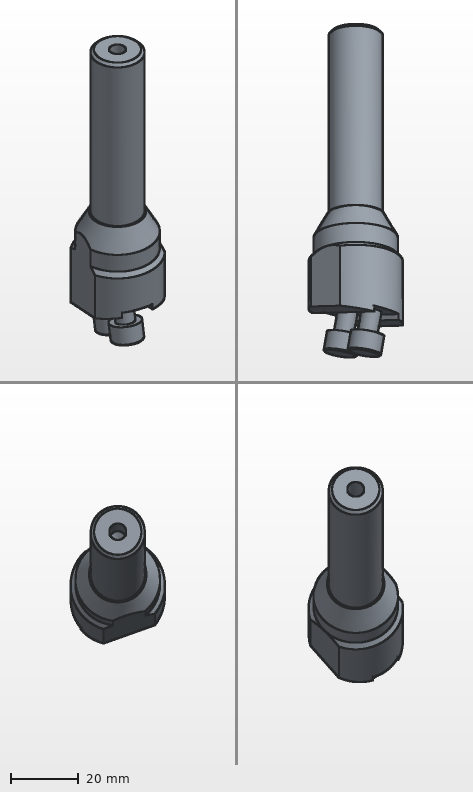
import cadquery as cq
import math


overall_length = 103.6

shank_diameter = 16.1
shank_radius = shank_diameter / 2
shank_chamfer = 1.0
shank_base_height = 32.1
cone_top_radius = 8.5
cone_height = 7.2
collar_radius = 12.5
collar_height = 6.0
head_radius = 14.0
head_chamfer = head_radius - collar_radius

blank_bottom = -5.2

front_flat = 11.5
back_flat = collar_radius

centre_hole_radius = 2.5
centre_hole_depth = 10.4
drill_tip_angle = 118.0

face_angle = 14.0
slot_width = 10.0
slot_depth = 1.8

stem_radius = 3.0
screw_head_radius = slot_width / 2
screw_head_height = 6.0
screw_head_chamfer = 0.4
under_head_drop = 5.3
screw_spacing = 10.5
screw_row_centre = -1.2

slope = math.radians(face_angle)
end_face = cq.Plane(
    origin=(0, 0, 0),
    xDir=(math.cos(slope), 0, math.sin(slope)),
    normal=(math.sin(slope), 0, -math.cos(slope)),
)

end_rim_reach = screw_spacing / 2 - screw_row_centre + screw_head_radius - screw_head_chamfer
screw_end_drop = under_head_drop + screw_head_height
lowest_drop = screw_end_drop * math.cos(slope) + end_rim_reach * math.sin(slope)
top_height = overall_length - lowest_drop

cutter_size = 4 * head_radius


def make_turned_blank():
    cone_base_height = shank_base_height - cone_height
    collar_base_height = cone_base_height - collar_height
    head_top_height = collar_base_height - head_chamfer
    return (
        cq.Workplane("XZ")
        .moveTo(0, blank_bottom)
        .lineTo(head_radius, blank_bottom)
        .lineTo(head_radius, head_top_height)
        .lineTo(collar_radius, collar_base_height)
        .lineTo(collar_radius, cone_base_height)
        .lineTo(cone_top_radius, shank_base_height)
        .lineTo(shank_radius, shank_base_height)
        .lineTo(shank_radius, top_height - shank_chamfer)
        .lineTo(shank_radius - shank_chamfer, top_height)
        .lineTo(0, top_height)
        .close()
        .revolve(360, (0, 0, 0), (0, 1, 0))
    )


def make_flats_envelope():
    return (
        cq.Workplane("XY", origin=(0, (back_flat - front_flat) / 2, blank_bottom))
        .rect(cutter_size, front_flat + back_flat)
        .extrude(top_height - blank_bottom)
    )


def make_centre_hole():
    tip_height = centre_hole_radius / math.tan(math.radians(drill_tip_angle / 2))
    hole_floor = top_height - centre_hole_depth
    return (
        cq.Workplane("XZ")
        .moveTo(0, hole_floor - tip_height)
        .lineTo(centre_hole_radius, hole_floor)
        .lineTo(centre_hole_radius, top_height)
        .lineTo(0, top_height)
        .close()
        .revolve(360, (0, 0, 0), (0, 1, 0))
    )


def make_holder():
    below_end_face = cq.Workplane(end_face).rect(cutter_size, cutter_size).extrude(cutter_size)
    slot = cq.Workplane(end_face).rect(cutter_size, slot_width).extrude(-slot_depth)
    return (
        make_turned_blank()
        .intersect(make_flats_envelope())
        .cut(make_centre_hole())
        .cut(below_end_face)
        .cut(slot)
    )


def make_screw(row_position):
    stem = (
        cq.Workplane(end_face)
        .workplane(offset=-slot_depth)
        .center(row_position, 0)
        .circle(stem_radius)
        .extrude(slot_depth + under_head_drop)
    )
    head = (
        cq.Workplane(end_face)
        .workplane(offset=under_head_drop)
        .center(row_position, 0)
        .circle(screw_head_radius)
        .extrude(screw_head_height)
        .faces(cq.selectors.DirectionMinMaxSelector(end_face.zDir, True))
        .chamfer(screw_head_chamfer)
    )
    return stem.union(head)


holder = make_holder()
screws = []
for side in (-1, 1):
    screws.append(make_screw(screw_row_centre + side * screw_spacing / 2))

result = cq.Compound.makeCompound([holder.val(), *[screw.val() for screw in screws]])